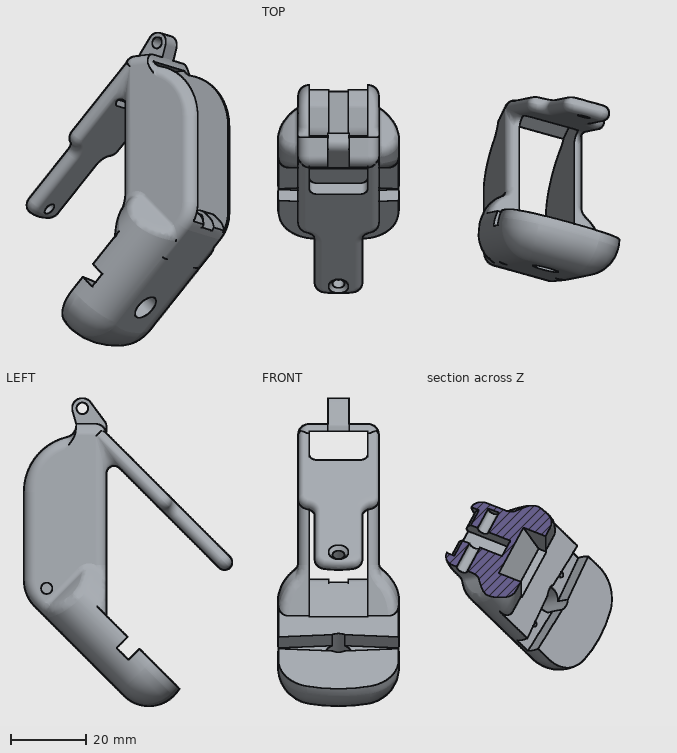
import cadquery as cq
import math

DIAGONAL = math.sqrt(0.5)
INCLINE = 45
UPHILL = cq.Vector(0, 1, 1)
OUTWARD = cq.Vector(0, -1, 1)
FAR = 60.0
MARGIN = 0.01

WALL = 3.0
CAVITY_WIDTH = 15.5
HOUSING_WIDTH = CAVITY_WIDTH + 2 * WALL
HOUSING_DEPTH = 22.0
HOUSING_TOP = 50.95
NECK_DEPTH = 8.1
CAVITY_TOP = 48.95
UPPER_BACK_RADIUS = 15.0
UPPER_BACK_Z = 32.9
SHOULDER_Z = UPPER_BACK_Z + UPPER_BACK_RADIUS
NECK_RADIUS = 3.0
LOWER_BACK_RADIUS = 10.0
EDGE_RADIUS = 2.99

SILL_Z = -0.25
RAMP_ANGLE = 60.0
SHELF_Z = 9.75
SHELF_BACK_Y = 15.9
SHELF_LENGTH = 5.2
SHELF_FRONT_RADIUS = 5.0
SHELF_BACK_RADIUS = 3.0
BACK_SLOPE_LENGTH = 2.1
FLOOR_BACK_Y = 20.75
HINGE_SLOT_WIDTH = 5.15
HINGE_SLOT_FRONT_Y = 8.0
HINGE_SLOT_Z = 3.9
PIN_DIAMETER = 3.0
PIN_Y = 15.9
PIN_Z = 7.3
PIN_END_WALL = 1.5

LUG_WIDTH = 5.7
LUG_EYE_Y = 6.43
LUG_EYE_Z = 55.06
LUG_RADIUS = 2.74
LUG_HOLE_DIAMETER = 3.0
LUG_SHOULDER_Z = HOUSING_TOP
LUG_FRONT_RADIUS = 2.0

PAD_WIDTH = 32.22
PAD_THICKNESS = 11.73
PAD_TIP = -27.6
PAD_TIP_RADIUS = 36.5
PAD_CORNER_RADIUS = 10.0
PAD_BOTTOM_RADIUS = 9.2
PAD_HEEL = 15.6
PAD_HEEL_RADIUS = 25.0
HEEL_EDGE_RADIUS = 3.0
HEEL_BLEND_RADIUS = 1.9
PAD_UPPER_RADIUS = 9.9
HEEL_RISE = 7.75
GROOVE_Y = -10.1
GROOVE_DEPTH = 4.15
GROOVE_END_WIDTH = 4.4
GROOVE_MID_WIDTH = 6.3
PAD_HOLE_DIAMETER = 7.0
SCREW_HOLE_DIAMETER = 1.5
SCREW_HOLE_X = 8.45
SCREW_HOLE_DEPTH = 5.0

FLAP_TOP_Z = 48.4
FLAP_THICKNESS = 4.1
FLAP_EDGE_RADIUS = 2.03
FLAP_NECK_WIDTH = 12.8
FLAP_SHOULDER = -22.6
FLAP_SHOULDER_RADIUS = 3.0
FLAP_TIP = -48.38
FLAP_TIP_RADIUS = 20.0
FLAP_TIP_CORNER_RADIUS = 3.0
FLAP_ROOT_RADIUS = 2.0
WINDOW_END = -9.9
FLAP_ROOT = 1.5
WINDOW_CORNER_RADIUS = 2.0
FLAP_HOLE_DIAMETER = 3.2
FLAP_SINK_DIAMETER = 5.3
FLAP_HOLE_FROM_TIP = 3.85


def inclined(z):
    """Workplane of the inclined frame with its origin at height z on the front face."""
    return cq.Workplane(cq.Plane(origin=(0, 0, z), xDir=(1, 0, 0), normal=OUTWARD))


def polar(center, radius, degrees):
    """Point on a circle, in the two coordinates of its plane."""
    angle = math.radians(degrees)
    return (center[0] + radius * math.cos(angle), center[1] + radius * math.sin(angle))


def arc(sketch, center, radius, start, end):
    """Add an arc from the current point (at angle start) to the angle end."""
    return sketch.threePointArc(polar(center, radius, (start + end) / 2), polar(center, radius, end))


def rounded_end(sketch, half_width, tip, tip_radius, corner_radius):
    """Shallow end arc with tangent corner arcs, drawn from the -x side to the +x side."""
    corner_x = half_width - corner_radius
    rise = math.sqrt((tip_radius - corner_radius) ** 2 - corner_x**2)
    tip_center = (0, tip + tip_radius)
    corner_y = tip_center[1] - rise
    spread = math.degrees(math.atan2(corner_x, rise))
    sketch = sketch.lineTo(-half_width, corner_y)
    sketch = arc(sketch, (-corner_x, corner_y), corner_radius, 180, 270 - spread)
    sketch = arc(sketch, tip_center, tip_radius, 270 - spread, 270 + spread)
    return arc(sketch, (corner_x, corner_y), corner_radius, 270 + spread, 360)


def make_neck():
    """Block at the top of the housing, rounded at the front and along its top sides."""
    height = UPPER_BACK_RADIUS
    neck = cq.Workplane("XY").box(HOUSING_WIDTH, NECK_DEPTH, height, centered=(True, False, False))
    neck = neck.translate((0, 0, HOUSING_TOP - height))
    front_edges = neck.edges("<Y and (not <Z)")
    return front_edges.add(neck.edges("|Y and >Z")).fillet(EDGE_RADIUS)


def make_housing():
    """Solid housing block with its side edges rounded at the top and the back."""
    upper_center = (HOUSING_DEPTH - UPPER_BACK_RADIUS, UPPER_BACK_Z)

    bottom_drop = PAD_THICKNESS / DIAGONAL
    lower_center_y = HOUSING_DEPTH - LOWER_BACK_RADIUS
    lower_center = (lower_center_y, lower_center_y - bottom_drop + LOWER_BACK_RADIUS / DIAGONAL)

    sketch = cq.Workplane("YZ").moveTo(0, SHOULDER_Z).lineTo(upper_center[0], SHOULDER_Z)
    sketch = arc(sketch, upper_center, UPPER_BACK_RADIUS, 90, 0)
    sketch = sketch.lineTo(HOUSING_DEPTH, lower_center[1])
    sketch = arc(sketch, lower_center, LOWER_BACK_RADIUS, 0, -45)
    sketch = sketch.lineTo(lower_center_y, lower_center_y - bottom_drop).lineTo(0, 0).close()
    block = sketch.extrude(HOUSING_WIDTH / 2, both=True)
    return block.faces("<X or >X").edges("not <Y").fillet(EDGE_RADIUS)


def make_lug():
    """Eye on top of the housing; its sides are tangent to the round eye."""

    def tangent_angle(corner, side):
        offset_y = corner[0] - LUG_EYE_Y
        offset_z = corner[1] - LUG_EYE_Z
        distance = math.hypot(offset_y, offset_z)
        swing = math.degrees(math.acos(LUG_RADIUS / distance))
        return math.degrees(math.atan2(offset_z, offset_y)) + side * swing

    front = (0, LUG_SHOULDER_Z)
    back = (NECK_DEPTH, LUG_SHOULDER_Z)
    eye = (LUG_EYE_Y, LUG_EYE_Z)
    start = tangent_angle(front, -1) + 360
    end = tangent_angle(back, 1)
    sketch = cq.Workplane("YZ").moveTo(0, CAVITY_TOP).lineTo(*front).lineTo(*polar(eye, LUG_RADIUS, start))
    sketch = arc(sketch, eye, LUG_RADIUS, start, end)
    sketch = sketch.lineTo(*back).lineTo(NECK_DEPTH, CAVITY_TOP).close()
    lug = sketch.extrude(LUG_WIDTH / 2, both=True)
    return lug.edges(cq.selectors.NearestToPointSelector((0, *front))).fillet(LUG_FRONT_RADIUS)


def make_hull():
    """Pad body, running up past the front face, with rounded bottom and heel edges."""
    half = PAD_WIDTH / 2
    heel_center_y = PAD_HEEL - PAD_HEEL_RADIUS
    heel_y = heel_center_y + math.sqrt(PAD_HEEL_RADIUS**2 - half**2)
    sketch = cq.Workplane(origin=(0, 0, -PAD_THICKNESS)).moveTo(-half, heel_y)
    sketch = rounded_end(sketch, half, PAD_TIP, PAD_TIP_RADIUS, PAD_CORNER_RADIUS)
    sketch = sketch.lineTo(half, heel_y).threePointArc((0, PAD_HEEL), (-half, heel_y)).close()
    hull = sketch.extrude(PAD_THICKNESS + HEEL_RISE)
    hull = hull.faces("<Z").edges("not >Y").fillet(PAD_BOTTOM_RADIUS)
    hull = hull.faces(">Z").edges("not >Y").fillet(PAD_UPPER_RADIUS)
    heel_face = hull.faces(cq.selectors.NearestToPointSelector((0, PAD_HEEL, 0)))
    hull = heel_face.edges("not (<Z or >Z)").fillet(HEEL_EDGE_RADIUS)
    return hull.rotate((0, 0, 0), (1, 0, 0), INCLINE)


def make_pad():
    """Hull cut down to the pad's top face, with a heel that rises to the housing's front face."""
    clearance = cq.Workplane("YZ").polyline([(0, 0), (-FAR, -FAR), (-FAR, FAR), (0, FAR)]).close()
    return make_hull().cut(clearance.extrude(FAR, both=True))


def make_shell():
    """Housing, pad and neck in one piece with the edges between them rounded."""
    shell = make_housing().union(make_pad())

    half = HOUSING_WIDTH / 2
    for side in (-half, half):
        corner = cq.selectors.BoxSelector(
            (side - MARGIN, 0, HEEL_RISE), (side + MARGIN, NECK_DEPTH, 2 * HEEL_RISE)
        )
        shell = shell.edges(corner).edges("not |Z").fillet(HEEL_BLEND_RADIUS)

    front = cq.selectors.BoxSelector((-FAR, -MARGIN, MARGIN), (FAR, MARGIN, FAR))
    shell = shell.edges(front).fillet(EDGE_RADIUS)

    shell = shell.union(make_neck())
    neck_corner = cq.selectors.NearestToPointSelector((0, NECK_DEPTH, SHOULDER_Z))
    return shell.edges(neck_corner).fillet(NECK_RADIUS)


def make_flap():
    """Spoon-shaped plate with fully rounded edges."""
    half = HOUSING_WIDTH / 2
    neck = FLAP_NECK_WIDTH / 2
    radius = FLAP_SHOULDER_RADIUS
    turn = math.degrees(math.acos(1 - (half - neck) / (2 * radius)))
    neck_start = FLAP_SHOULDER - 2 * radius * math.sin(math.radians(turn))

    sketch = inclined(FLAP_TOP_Z).moveTo(-half, FLAP_ROOT).lineTo(-half, FLAP_SHOULDER)
    sketch = arc(sketch, (radius - half, FLAP_SHOULDER), radius, 180, 180 + turn)
    sketch = arc(sketch, (-neck - radius, neck_start), radius, turn, 0)
    sketch = rounded_end(sketch, neck, FLAP_TIP, FLAP_TIP_RADIUS, FLAP_TIP_CORNER_RADIUS)
    sketch = sketch.lineTo(neck, neck_start)
    sketch = arc(sketch, (neck + radius, neck_start), radius, 180, 180 - turn)
    sketch = arc(sketch, (half - radius, FLAP_SHOULDER), radius, -turn, 0)
    plate = sketch.lineTo(half, FLAP_ROOT).close().extrude(-FLAP_THICKNESS)

    root = cq.selectors.DirectionMinMaxSelector(UPHILL, True)
    for is_top in (True, False):
        face = plate.faces(cq.selectors.DirectionMinMaxSelector(OUTWARD, is_top))
        plate = face.edges(cq.selectors.InverseSelector(root)).fillet(FLAP_EDGE_RADIUS)
    return plate


def add_root_fillet(body):
    """Blend the underside of the flap into the front of the housing."""
    root_z = FLAP_TOP_Z - FLAP_THICKNESS / DIAGONAL
    reach = FLAP_ROOT_RADIUS
    near_root = cq.selectors.BoxSelector((-FAR, -reach, root_z - reach), (FAR, reach, root_z + reach))
    return body.edges(near_root).fillet(FLAP_ROOT_RADIUS)


def make_cavity():
    """Open space between the side walls, above the ramp, shelf and rounded back of the floor."""
    front_center = (SHELF_BACK_Y - SHELF_LENGTH, SHELF_Z - SHELF_FRONT_RADIUS)
    back_center = (SHELF_BACK_Y, SHELF_Z - SHELF_BACK_RADIUS)
    ramp_top = polar(front_center, SHELF_FRONT_RADIUS, 90 + RAMP_ANGLE)
    ramp_foot_y = ramp_top[0] - (ramp_top[1] - SILL_Z) / math.tan(math.radians(RAMP_ANGLE))
    slope_top = polar(back_center, SHELF_BACK_RADIUS, 45)
    slope_drop = BACK_SLOPE_LENGTH * DIAGONAL
    slope_end = (slope_top[0] + slope_drop, slope_top[1] - slope_drop)
    end_radius = (FLOOR_BACK_Y - slope_end[0]) / (1 - DIAGONAL)
    end_center = (FLOOR_BACK_Y - end_radius, slope_end[1] - end_radius * DIAGONAL)

    sketch = cq.Workplane("YZ").moveTo(0, CAVITY_TOP).lineTo(0, 0).lineTo(SILL_Z, SILL_Z)
    sketch = sketch.lineTo(ramp_foot_y, SILL_Z).lineTo(*ramp_top)
    sketch = arc(sketch, front_center, SHELF_FRONT_RADIUS, 90 + RAMP_ANGLE, 90)
    sketch = sketch.lineTo(SHELF_BACK_Y, SHELF_Z)
    sketch = arc(sketch, back_center, SHELF_BACK_RADIUS, 90, 45).lineTo(*slope_end)
    sketch = arc(sketch, end_center, end_radius, 45, 0)
    sketch = sketch.lineTo(FLOOR_BACK_Y, -FAR).lineTo(FAR, -FAR).lineTo(FAR, CAVITY_TOP).close()
    return sketch.extrude(CAVITY_WIDTH / 2, both=True)


def make_hinge_cuts():
    """Slot through the back of the floor and the blind pin hole that crosses it."""
    slot = cq.Workplane("XY").box(HINGE_SLOT_WIDTH, FAR, FAR, centered=(True, False, False))
    slot = slot.translate((0, HINGE_SLOT_FRONT_Y, HINGE_SLOT_Z))
    slot = slot.intersect(cq.Workplane("XY").box(FAR, 2 * FAR, 2 * SHELF_Z))
    pin_length = HOUSING_WIDTH - PIN_END_WALL
    pin = cq.Workplane("YZ", origin=(-HOUSING_WIDTH / 2, PIN_Y, PIN_Z)).circle(PIN_DIAMETER / 2)
    return slot.union(pin.extrude(pin_length))


def make_window():
    """Window at the root of the flap, open towards the cavity."""
    length = FLAP_ROOT / 2 - WINDOW_END
    window = inclined(FLAP_TOP_Z).center(0, WINDOW_END + length / 2).rect(CAVITY_WIDTH, length)
    window = window.extrude(-2 * FLAP_THICKNESS)
    lower_end = cq.selectors.DirectionMinMaxSelector(UPHILL, False)
    return window.faces(lower_end).edges("not |X").fillet(WINDOW_CORNER_RADIUS)


def make_flap_hole():
    """Countersunk hole near the tip of the flap."""
    face = inclined(FLAP_TOP_Z).center(0, FLAP_TIP + FLAP_HOLE_FROM_TIP)
    hole = face.circle(FLAP_HOLE_DIAMETER / 2).extrude(-FLAP_THICKNESS)
    sink_depth = (FLAP_SINK_DIAMETER - FLAP_HOLE_DIAMETER) / 2
    sink = face.circle(FLAP_SINK_DIAMETER / 2).extrude(-sink_depth, taper=45)
    return hole.union(sink)


def make_pad_cuts():
    """Cross groove, widest in the middle, with the holes in its floor."""
    half_length = PAD_WIDTH / 2
    half_end = GROOVE_END_WIDTH / 2
    half_middle = GROOVE_MID_WIDTH / 2
    face = inclined(0).center(0, GROOVE_Y)
    groove = face.polyline([
        (-half_length, -half_end),
        (0, -half_middle),
        (half_length, -half_end),
        (half_length, half_end),
        (0, half_middle),
        (-half_length, half_end),
    ]).close().extrude(-GROOVE_DEPTH)
    through = face.circle(PAD_HOLE_DIAMETER / 2).extrude(-PAD_THICKNESS)
    screws = face.pushPoints([(-SCREW_HOLE_X, 0), (SCREW_HOLE_X, 0)]).circle(SCREW_HOLE_DIAMETER / 2)
    return groove.union(through).union(screws.extrude(-GROOVE_DEPTH - SCREW_HOLE_DEPTH))


def make_lug_hole():
    """Cross hole in the eye of the lug."""
    hole = cq.Workplane("YZ", origin=(0, LUG_EYE_Y, LUG_EYE_Z)).circle(LUG_HOLE_DIAMETER / 2)
    return hole.extrude(LUG_WIDTH, both=True)


body = add_root_fillet(make_shell().union(make_flap()))
body = body.cut(make_cavity()).union(make_lug())
for cut in (make_hinge_cuts(), make_window(), make_flap_hole(), make_pad_cuts(), make_lug_hole()):
    body = body.cut(cut)
result = body